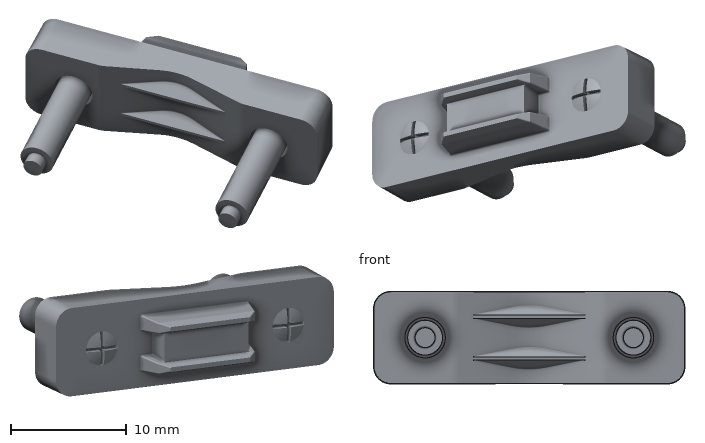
import cadquery as cq
import math


plate_length = 26.9
plate_height = 8.0
plate_depth = 3.98
plate_draft = 0.8
corner_radius = 1.5

valley_angle = 15.0
valley_half_width = 6.43
valley_floor_radius = 6.0
valley_edge_radius = 2.15

rib_spacing = 3.6
ridge_setback = 0.43
ridge_nose_width = 0.27
ridge_flank_angle = 36.5
ridge_fillet = 0.08

rib_height = 3.0
shoulder_height = 2.23
rib_base_size = (10.38, 1.35)
rib_shoulder_size = (9.35, 0.97)
rib_tip_size = (7.7, 0.4)
rib_root_fillet = 0.13
rib_corner_radius = 0.1

web_length = 8.07

pin_spacing = 18.0
pin_radius = 1.5
pin_front_length = 9.0
pin_tip_radius = 0.85
pin_tip_length = 1.0
dome_height = 0.25
slot_width = 0.35
slot_depth = 0.4

clearance_radius = 1.75
clearance_depth = plate_depth / 2

overlap = 0.27
margin = 0.03

rib_places = [-rib_spacing / 2, rib_spacing / 2]
pin_places = [-pin_spacing / 2, pin_spacing / 2]


def plane_facing_back(y, x=0.0):
    """Plane parallel to the plate, with its normal along +Y and its local y along Z."""
    return cq.Plane(origin=(x, y, 0), xDir=(-1, 0, 0), normal=(0, 1, 0))


def make_plate():
    return (
        cq.Workplane(plane_facing_back(0))
        .rect(plate_length, plate_height)
        .extrude(plate_depth, taper=plate_draft)
        .edges("not(#Y)")
        .fillet(corner_radius)
    )


def make_valley():
    """Cutter with two sloping flanks, a rounded floor and rounded outer edges."""
    angle = math.radians(valley_angle)
    slope = math.tan(angle)
    across = math.sin(angle)
    rise = 1 - math.cos(angle)

    edge_start = valley_half_width + valley_edge_radius * math.tan(angle / 2)
    edge_mid = edge_start - valley_edge_radius * math.sin(angle / 2)
    edge_mid_depth = valley_edge_radius * (1 - math.cos(angle / 2))
    edge_end = edge_start - valley_edge_radius * across
    edge_end_depth = valley_edge_radius * rise

    floor_half = valley_floor_radius * across
    floor_end_depth = (valley_half_width - floor_half) * slope
    floor_depth = floor_end_depth + valley_floor_radius * rise

    return (
        cq.Workplane("XY")
        .moveTo(-edge_start, 0)
        .threePointArc((-edge_mid, edge_mid_depth), (-edge_end, edge_end_depth))
        .lineTo(-floor_half, floor_end_depth)
        .threePointArc((0, floor_depth), (floor_half, floor_end_depth))
        .lineTo(edge_end, edge_end_depth)
        .threePointArc((edge_mid, edge_mid_depth), (edge_start, 0))
        .lineTo(edge_start, -overlap)
        .lineTo(-edge_start, -overlap)
        .close()
        .extrude(plate_height / 2 + overlap, both=True)
    )


def make_ridge(z):
    """Wedge with a flat nose, widening toward the valley floor."""
    back = plate_depth / 2
    nose_half = ridge_nose_width / 2
    back_half = nose_half + (back - ridge_setback) * math.tan(math.radians(ridge_flank_angle))
    outline = [
        (ridge_setback, z - nose_half),
        (ridge_setback, z + nose_half),
        (back, z + back_half),
        (back, z - back_half),
    ]
    return cq.Workplane("YZ").polyline(outline).close().extrude(valley_half_width, both=True)


def make_frustum(start, height, start_size, end_size):
    return (
        cq.Workplane(plane_facing_back(start))
        .rect(*start_size)
        .workplane(offset=height)
        .rect(*end_size)
        .loft(ruled=True)
    )


def make_rib(z):
    lower = make_frustum(plate_depth, shoulder_height, rib_base_size, rib_shoulder_size)
    upper = make_frustum(
        plate_depth + shoulder_height, rib_height - shoulder_height, rib_shoulder_size, rib_tip_size
    )
    rib = lower.union(upper).edges("not(#Y)").fillet(rib_corner_radius)
    return rib.translate((0, 0, z))


def make_web():
    return (
        cq.Workplane(plane_facing_back(plate_depth))
        .rect(web_length, rib_spacing)
        .extrude(shoulder_height)
    )


def box_around(x_reach, y_range, z, z_reach):
    """Selector for the edges whose middle lies in a box centred on x = 0 and the given z."""
    return cq.selectors.BoxSelector(
        (-x_reach, y_range[0], z - z_reach), (x_reach, y_range[1], z + z_reach)
    )


def cut_ridged_valley(plate):
    cutter = make_valley()
    for z in rib_places:
        cutter = cutter.cut(make_ridge(z))
    plate = plate.cut(cutter)

    for z in rib_places:
        around_ridge = box_around(valley_half_width, (0, plate_depth / 2), z, rib_spacing / 3)
        plate = plate.edges(around_ridge).edges("not(|X)").fillet(ridge_fillet)
    return plate


def add_ribs(plate):
    plate = plate.union(make_web())
    for z in rib_places:
        plate = plate.union(make_rib(z))

    web_top = plate_depth + shoulder_height
    root_range = (plate_depth - margin, plate_depth + margin)
    web_side_range = (plate_depth + margin, web_top - margin)
    back_root = box_around(plate_length / 3, root_range, 0, rib_spacing)
    web_sides = box_around(web_length / 2 + margin, web_side_range, 0, rib_spacing / 2)
    return plate.edges(back_root + web_sides).fillet(rib_root_fillet)


def cut_pin_hole(plate, x):
    through = cq.Workplane(plane_facing_back(0, x)).circle(pin_radius).extrude(plate_depth)
    clearance = cq.Workplane(plane_facing_back(0, x)).circle(clearance_radius).extrude(clearance_depth)
    return plate.cut(through).cut(clearance)


def make_housing():
    housing = make_plate()
    housing = cut_ridged_valley(housing)
    housing = add_ribs(housing)
    for x in pin_places:
        housing = cut_pin_hole(housing, x)
    return housing


def make_pin(x):
    """Stepped pin with a domed, cross-slotted back end."""
    pin_front = -pin_front_length
    tip_front = pin_front - pin_tip_length
    dome_top = plate_depth + dome_height
    dome_radius = (pin_radius**2 + dome_height**2) / (2 * dome_height)
    dome_mid_x = pin_radius / 2
    dome_mid_y = dome_top - dome_radius + math.sqrt(dome_radius**2 - dome_mid_x**2)

    body = (
        cq.Workplane("XY")
        .moveTo(0, tip_front)
        .lineTo(pin_tip_radius, tip_front)
        .lineTo(pin_tip_radius, pin_front)
        .lineTo(pin_radius, pin_front)
        .lineTo(pin_radius, plate_depth)
        .threePointArc((dome_mid_x, dome_mid_y), (0, dome_top))
        .close()
        .revolve(360, (0, 0), (0, 1))
    )
    slots = cq.Workplane(plane_facing_back(plate_depth - slot_depth))
    for length, height in [(2 * pin_radius, slot_width), (slot_width, 2 * pin_radius)]:
        body = body.cut(slots.rect(length, height).extrude(slot_depth + dome_height))
    return body.translate((x, 0, 0))


housing = make_housing()
pins = [make_pin(x) for x in pin_places]

result = cq.Compound.makeCompound([housing.val(), *[pin.val() for pin in pins]])